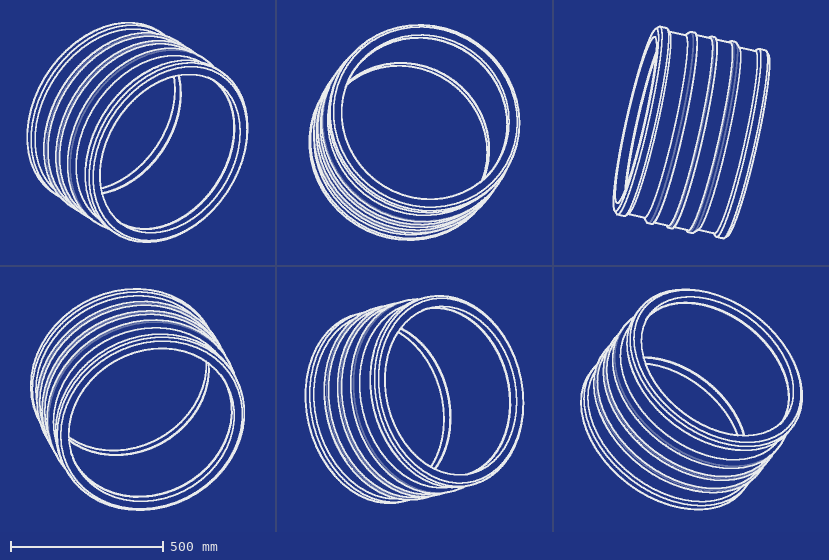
import cadquery as cq
import math

length = 376.0
half_length = length / 2
bore_radius = 560.0 / 2
collar_radius = 634.0 / 2
barrel_radius = 632.1 / 2
neck_radius = 614.98 / 2
rib_radius = 645.0 / 2

collar_step = collar_radius - neck_radius
collar_inset = 32.0
neck_start_inset = collar_inset + collar_step
neck_end_inset = 98.0

rib_width = 15.0
rib_pitch = 67.5
rib_fillet = 3.25
shoulder_angle = math.radians(45)

groove_radius = 4.0 / 2
groove_depth = 1.0
groove_inset = 33.75


def add_fillet(profile, center_x, start_angle, end_angle):
    """Draw to a rib fillet and along its arc; angles are in radians from +X."""
    center_r = rib_radius - rib_fillet

    def arc_point(angle):
        return center_x + rib_fillet * math.cos(angle), center_r + rib_fillet * math.sin(angle)

    middle_angle = (start_angle + end_angle) / 2
    return profile.lineTo(*arc_point(start_angle)).threePointArc(arc_point(middle_angle), arc_point(end_angle))


def make_half():
    """Half of the sleeve from mid length to the +X end, with a plain bore."""
    right = 0.0
    up = math.pi / 2
    left = math.pi

    rib_inner_face = rib_pitch - rib_width / 2
    neck_inner_x = half_length - neck_end_inset

    shoulder_normal = math.pi / 2 - shoulder_angle
    cone_end_radius = rib_radius - rib_fillet + rib_fillet * math.sin(shoulder_normal)
    cone_end_x = neck_inner_x - (cone_end_radius - neck_radius) / math.tan(shoulder_angle)
    shoulder_fillet_x = cone_end_x - rib_fillet * math.cos(shoulder_normal)

    profile = (
        cq.Workplane("XY")
        .moveTo(0, bore_radius)
        .lineTo(half_length, bore_radius)
        .lineTo(half_length, neck_radius)
        .lineTo(half_length - collar_step, collar_radius)
        .lineTo(half_length - collar_inset, collar_radius)
        .lineTo(half_length - neck_start_inset, neck_radius)
        .lineTo(neck_inner_x, neck_radius)
    )
    profile = add_fillet(profile, shoulder_fillet_x, shoulder_normal, up)
    profile = add_fillet(profile, rib_inner_face + rib_fillet, up, left)
    profile = profile.lineTo(rib_inner_face, barrel_radius).lineTo(rib_width / 2, barrel_radius)
    profile = add_fillet(profile, rib_width / 2 - rib_fillet, right, up)
    profile = profile.lineTo(0, rib_radius).close()
    return profile.revolve(360, (0, 0, 0), (1, 0, 0))


def make_bore_groove(x):
    """Ring that cuts a round-bottomed groove into the bore at axial position x."""
    ring_radius = bore_radius + groove_depth - groove_radius
    ring = cq.Solid.makeTorus(ring_radius, groove_radius, cq.Vector(x, 0, 0), cq.Vector(1, 0, 0))
    return cq.Workplane(ring)


half = make_half()
result = half.union(half.mirror("YZ"))
for side in (-1, 1):
    result = result.cut(make_bore_groove(side * (half_length - groove_inset)))